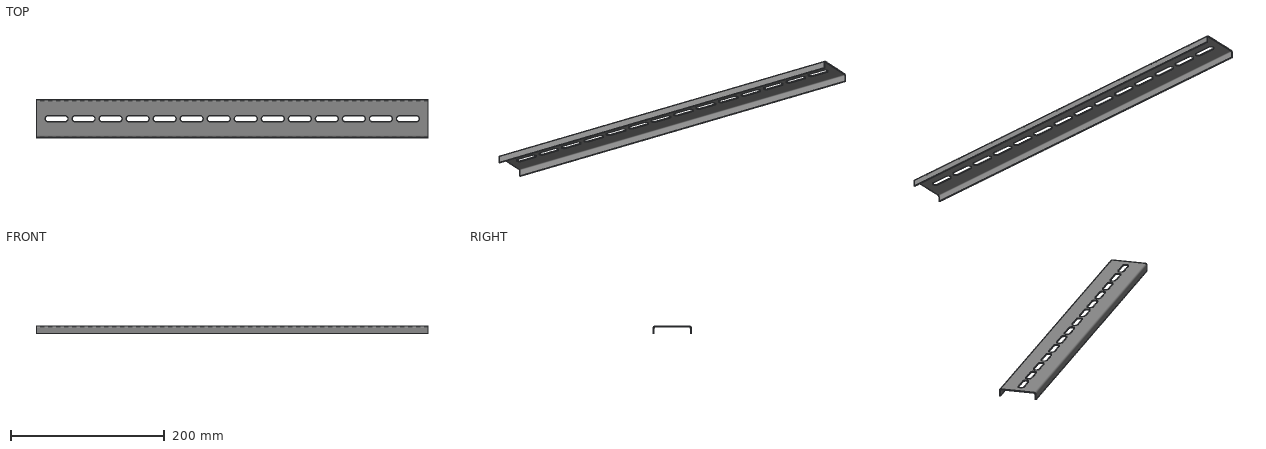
import cadquery as cq

length = 510.0
width = 50.0
height = 10.0
thickness = 1.5
outer_bend_radius = 3.0
inner_bend_radius = outer_bend_radius - thickness

slot_count = 14
slot_pitch = 35.0
slot_length = 29.5
slot_width = 7.5


def rounded_bar(bar_width, bar_height, edge_radius):
    """Full-length bar standing on Z = 0 with its two upper long edges rounded."""
    return (
        cq.Workplane("XY")
        .box(length, bar_width, bar_height, centered=(True, True, False))
        .edges("|X and >Z")
        .fillet(edge_radius)
    )


def make_channel():
    """Bent sheet channel of constant thickness."""
    outside = rounded_bar(width, height, outer_bend_radius)
    inside = rounded_bar(width - 2 * thickness, height - thickness, inner_bend_radius)
    return outside.cut(inside)


def cut_slots(channel):
    """Cut the evenly spaced slots through the web."""
    slots = (
        cq.Workplane("XY")
        .rarray(slot_pitch, 5, slot_count, 1)
        .slot2D(slot_length, slot_width)
        .extrude(height)
    )
    return channel.cut(slots)


result = cut_slots(make_channel())